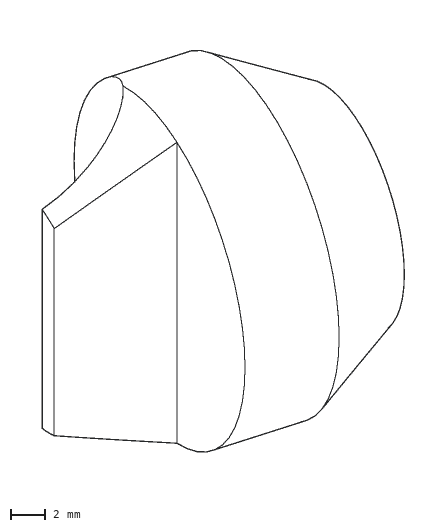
import cadquery as cq

body_radius = 11.12
back_radius = 7.55
tip_radius = 7.94
cylinder_length = 6.14
back_taper_length = 6.18
blade_length = 8.0

blade_flat_x = 2.91
blade_tip_thickness = 1.47
scoop_radius = 8.87

back_y = cylinder_length + back_taper_length
tip_y = -blade_length
blade_tip_x = blade_flat_x - blade_tip_thickness
scoop_center_x = blade_tip_x - scoop_radius
scoop_floor_y = tip_y + scoop_radius


def turned_blank():
    """Tapered back, cylindrical middle and tapered front, revolved about Y."""
    return (
        cq.Workplane("XY")
        .moveTo(0, tip_y)
        .lineTo(tip_radius, tip_y)
        .lineTo(body_radius, 0)
        .lineTo(body_radius, cylinder_length)
        .lineTo(back_radius, back_y)
        .lineTo(0, back_y)
        .close()
        .revolve(360, (0, 0, 0), (0, 1, 0))
    )


def shoulder_cut():
    """Material removed in front of the shoulder on the flat side of the blade."""
    return (
        cq.Workplane("XY")
        .moveTo(blade_flat_x, tip_y)
        .lineTo(body_radius, tip_y)
        .lineTo(body_radius, 0)
        .lineTo(blade_flat_x, 0)
        .close()
        .extrude(body_radius, both=True)
    )


def scoop_cut():
    """Quarter-round scoop running tangentially into a flat floor at the -X edge."""
    return (
        cq.Workplane("XY")
        .moveTo(-body_radius, tip_y)
        .lineTo(blade_tip_x, tip_y)
        .radiusArc((scoop_center_x, scoop_floor_y), -scoop_radius)
        .lineTo(-body_radius, scoop_floor_y)
        .close()
        .extrude(body_radius, both=True)
    )


result = turned_blank().cut(shoulder_cut()).cut(scoop_cut())